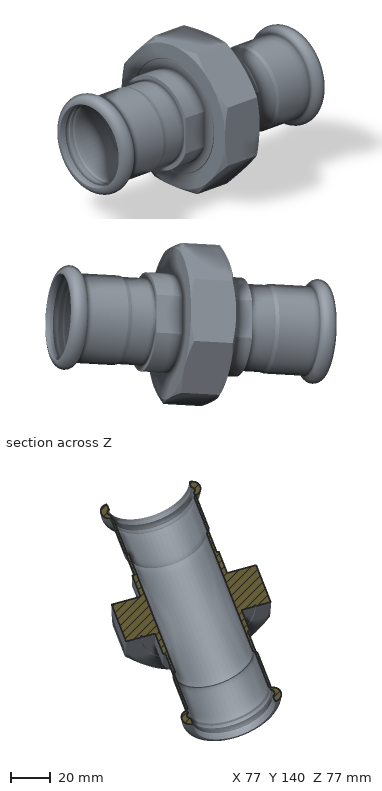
import cadquery as cq
import math

length = 140.0
end_y = length / 2

nut_across_flats = 77.0
nut_length = 23.8
nut_front_y = -12.2
nut_sides = 8
nut_chamfer_angle = 30.0
seam_outer_diameter = 60.8
seam_inner_diameter = 59.8
seam_depth = 0.7

collar_diameter = 50.1
collar_across_flats = 46.2
collar_end_y = 25.2

neck_diameter = 44.1
socket_diameter = 45.4
socket_bore_diameter = 42.7
bore_diameter = 41.0
step_length = 2.0
socket_end_y = end_y - 30.2
neck_end_y = socket_end_y - step_length

mouth_diameter = 44.0
bead_width = 9.0
lip_diameter = 43.4
lip_depth = 2.0
groove_front_depth = 3.8
groove_back_depth = 7.0
groove_diameter = 46.2
lead_in_length = 0.7


def build_nut():
    corner_diameter = nut_across_flats / math.cos(math.pi / nut_sides)
    corner_rise = (corner_diameter - nut_across_flats) / 2
    chamfer_length = corner_rise * math.tan(math.radians(nut_chamfer_angle))
    face_radius = nut_across_flats / 2
    corner_radius = corner_diameter / 2
    nut_back_y = nut_front_y + nut_length

    prism = (
        cq.Workplane("XZ", origin=(0, nut_back_y, 0))
        .transformed(rotate=(0, 0, 180 / nut_sides))
        .polygon(nut_sides, corner_diameter)
        .extrude(nut_length)
    )
    envelope = (
        cq.Workplane("XY")
        .moveTo(0, nut_front_y)
        .lineTo(face_radius, nut_front_y)
        .lineTo(corner_radius, nut_front_y + chamfer_length)
        .lineTo(corner_radius, nut_back_y - chamfer_length)
        .lineTo(face_radius, nut_back_y)
        .lineTo(0, nut_back_y)
        .close()
        .revolve(360, (0, 0, 0), (0, 1, 0))
    )
    seam = (
        cq.Workplane("XZ", origin=(0, nut_front_y + seam_depth, 0))
        .circle(seam_outer_diameter / 2)
        .circle(seam_inner_diameter / 2)
        .extrude(seam_depth)
    )
    return prism.intersect(envelope).cut(seam)


def build_collars():
    return (
        cq.Workplane("XZ")
        .circle(collar_diameter / 2)
        .extrude(collar_end_y, both=True)
        .intersect(cq.Workplane("XY").box(collar_across_flats, length, collar_diameter))
    )


def build_socket_body():
    """Solid outer shape of the +Y pipe end, from the part's middle to the mouth."""
    neck_radius = neck_diameter / 2
    socket_radius = socket_diameter / 2
    mouth_radius = mouth_diameter / 2
    bead_radius = bead_width / 2
    bead_centre_y = end_y - bead_radius
    shoulder_y = bead_centre_y - math.sqrt(bead_radius**2 - (socket_radius - mouth_radius) ** 2)
    return (
        cq.Workplane("XY")
        .lineTo(neck_radius, 0)
        .lineTo(neck_radius, neck_end_y)
        .lineTo(socket_radius, socket_end_y)
        .lineTo(socket_radius, shoulder_y)
        .threePointArc((mouth_radius + bead_radius, bead_centre_y), (mouth_radius, end_y))
        .lineTo(0, end_y)
        .close()
        .revolve(360, (0, 0, 0), (0, 1, 0))
    )


def build_socket_bore():
    """Stepped bore of the +Y pipe end, including the seal groove in the bead."""
    bore_radius = bore_diameter / 2
    socket_bore_radius = socket_bore_diameter / 2
    mouth_radius = mouth_diameter / 2
    lip_radius = lip_diameter / 2
    groove_front_y = end_y - groove_front_depth
    groove_back_y = end_y - groove_back_depth
    groove_bottom = (groove_diameter / 2, (groove_front_y + groove_back_y) / 2)
    lead_in_y = end_y - bead_width
    return (
        cq.Workplane("XY")
        .lineTo(bore_radius, 0)
        .lineTo(bore_radius, neck_end_y)
        .lineTo(socket_bore_radius, neck_end_y)
        .lineTo(socket_bore_radius, lead_in_y - lead_in_length)
        .lineTo(mouth_radius, lead_in_y)
        .lineTo(mouth_radius, groove_back_y)
        .threePointArc(groove_bottom, (lip_radius, groove_front_y))
        .lineTo(lip_radius, end_y - lip_depth)
        .lineTo(mouth_radius, end_y)
        .lineTo(0, end_y)
        .close()
        .revolve(360, (0, 0, 0), (0, 1, 0))
    )


def on_both_ends(shape):
    return shape.union(shape.mirror("XZ"))


result = build_nut().union(build_collars()).union(on_both_ends(build_socket_body()))
result = result.cut(on_both_ends(build_socket_bore()))